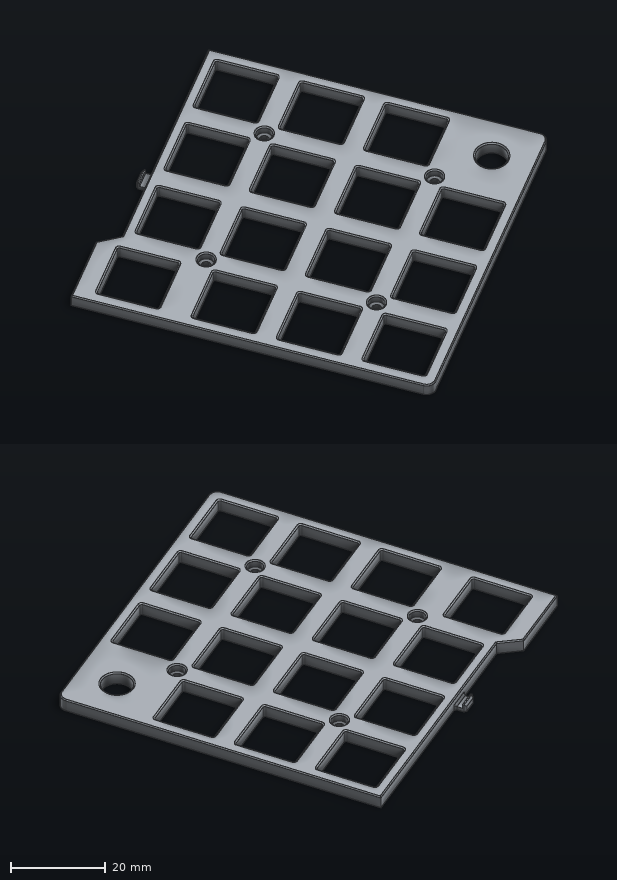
import cadquery as cq
import math

length = 80.9
width = 76.3
thickness = 3.0
corner_radius = 2.1
rim_chamfer = 0.28
rim_depth = 0.25
right_side = length / 2
back_side = width / 2
tab_side = -length / 2
left_side = -35.7
tab_back_y = -21.7
left_side_front_y = -18.4

grid_size = 4
grid_margin = 0.1
pitch = (width - grid_margin) / grid_size
grid_center_x = right_side - width / 2
window_size = 14.0
corner_window_size = 13.8
tab_window_shift = -2.4
window_radius = 0.5
window_chamfer = 0.36
window_depth = 0.25
blank_margin = 2.4

screw_hole_diameter = 2.0
screw_head_diameter = 3.6
screw_head_depth = 1.8
round_hole_diameter = 7.0
hole_chamfer = 0.3
hole_depth = 0.28

latch_reach = 2.6
latch_width = 4.05
latch_height = 1.9
latch_neck_height = 0.9
latch_crest_length = 0.3
latch_flare = 0.5
latch_end_chamfer = 0.5


def grid_position(index):
    """Offset of a row or column from the middle of the grid."""
    return (index - (grid_size - 1) / 2) * pitch


def make_plate():
    """Plate with a tab at the front left, rounded right corners and a beveled top rim."""
    outline = [
        (tab_side, -back_side),
        (right_side, -back_side),
        (right_side, back_side),
        (left_side, back_side),
        (left_side, left_side_front_y),
        (tab_side, tab_back_y),
    ]
    plate = cq.Workplane("XY").polyline(outline).close().extrude(thickness)
    plate = plate.edges("|Z and >X").fillet(corner_radius)
    return plate.faces(">Z").edges().chamfer(rim_chamfer, rim_depth)


def make_window(size):
    """Cutter for one window: a rounded square that widens at the top face."""
    blank_size = size + blank_margin
    blank = cq.Workplane("XY").box(blank_size, blank_size, thickness, centered=(True, True, False))
    shaft = cq.Workplane("XY").rect(size, size).extrude(thickness).edges("|Z").fillet(window_radius)
    frame = blank.cut(shaft)
    mouth = frame.faces(">Z").edges("not(>X or <X or >Y or <Y)")
    return blank.cut(mouth.chamfer(window_chamfer, window_depth))


def cut_windows(plate):
    """Cut every grid place except the back right one, which holds the round hole."""
    last = grid_size - 1
    for column in range(grid_size):
        for row in range(grid_size):
            if column == last and row == last:
                continue
            at_front_corner = row == 0 and column in (0, last)
            size = corner_window_size if at_front_corner else window_size
            shift = tab_window_shift if row == 0 and column == 0 else 0
            x = grid_center_x + grid_position(column) + shift
            plate = plate.cut(make_window(size).translate((x, grid_position(row), 0)))
    return plate


def make_mouth(diameter):
    """Cutter for the bevel around a round hole at the top face."""
    taper = math.degrees(math.atan(hole_chamfer / hole_depth))
    top = cq.Workplane("XY").workplane(offset=thickness)
    return top.circle(diameter / 2 + hole_chamfer).extrude(-hole_depth, taper=taper)


def make_screw_hole():
    """Cutter for a counterbored screw hole."""
    shaft = cq.Workplane("XY").circle(screw_hole_diameter / 2).extrude(thickness)
    head = cq.Workplane("XY").workplane(offset=thickness - screw_head_depth)
    head = head.circle(screw_head_diameter / 2).extrude(screw_head_depth)
    return shaft.union(head).union(make_mouth(screw_head_diameter))


def cut_round_holes(plate):
    """Cut four screw holes between the windows and the round hole in the back right corner."""
    for x_side in (-1, 1):
        for y_side in (-1, 1):
            center = (grid_center_x + x_side * pitch, y_side * pitch, 0)
            plate = plate.cut(make_screw_hole().translate(center))
    round_hole = cq.Workplane("XY").circle(round_hole_diameter / 2).extrude(thickness)
    round_hole = round_hole.union(make_mouth(round_hole_diameter))
    corner = grid_position(grid_size - 1)
    return plate.cut(round_hole.translate((grid_center_x + corner, corner, 0)))


def latch_section(start_x, start_width, start_height, end_x, end_width, end_height):
    """Piece of the latch between two upright rectangles that stand on the bottom plane."""
    start = cq.Workplane("YZ").workplane(offset=start_x)
    start = start.center(0, start_height / 2).rect(start_width, start_height)
    end = start.workplane(offset=end_x - start_x).center(0, (end_height - start_height) / 2)
    return end.rect(end_width, end_height).loft(ruled=True, combine=True)


def make_latch():
    """Latch with a flared root, a low neck and a taller head with a beveled end."""
    tip_x = left_side - latch_reach
    neck_x = left_side - latch_flare
    crest_x = tip_x + latch_end_chamfer
    head_x = crest_x + latch_crest_length
    root_width = latch_width + 2 * latch_flare
    root_height = latch_neck_height + latch_flare
    tip_width = latch_width - 2 * latch_end_chamfer
    tip_height = latch_height - latch_end_chamfer
    root = latch_section(left_side, root_width, root_height, neck_x, latch_width, latch_neck_height)
    neck = latch_section(neck_x, latch_width, latch_neck_height, head_x, latch_width, latch_neck_height)
    head = latch_section(head_x, latch_width, latch_height, crest_x, latch_width, latch_height)
    tip = latch_section(crest_x, latch_width, latch_height, tip_x, tip_width, tip_height)
    return root.union(neck).union(head).union(tip)


result = cut_round_holes(cut_windows(make_plate().union(make_latch())))